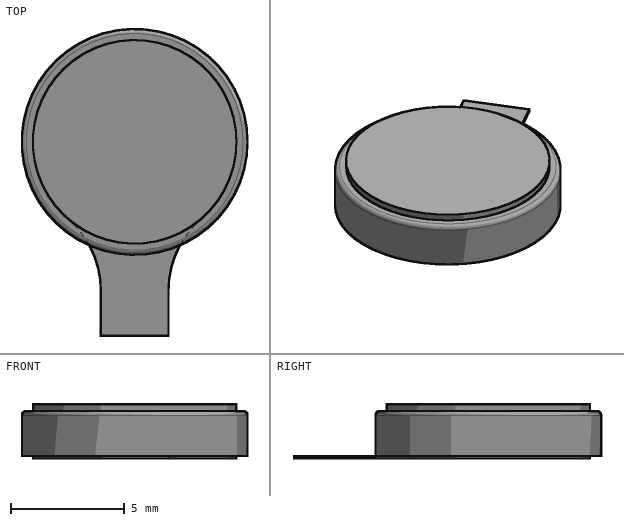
import cadquery as cq
import math

total_length = 13.58
total_height = 2.4

housing_diameter = 10.0
disc_diameter = 9.0
housing_radius = housing_diameter / 2
disc_radius = disc_diameter / 2
housing_edge_fillet = 0.2

circuit_thickness = 0.11
pad_thickness = 0.3
housing_height = total_height - circuit_thickness - pad_thickness

tail_width = 3.0
flare_radius = 4.2
tail_end_y = housing_radius - total_length


def make_housing():
    """Cylindrical case with a rounded top rim."""
    blank = cq.Workplane("XY").workplane(offset=circuit_thickness).circle(housing_radius).extrude(housing_height)
    return blank.faces(">Z").edges().fillet(housing_edge_fillet)


def make_top_pad():
    """Round pad lying on top of the housing."""
    pad_bottom = circuit_thickness + housing_height
    return cq.Workplane("XY").workplane(offset=pad_bottom).circle(disc_radius).extrude(pad_thickness)


def make_flex_circuit():
    """Disc and tail in one sheet, joined by flares tangent to both."""
    half_width = tail_width / 2
    flare_center_x = half_width + flare_radius
    center_distance = disc_radius + flare_radius
    flare_center_y = -math.sqrt(center_distance**2 - flare_center_x**2)

    disc_share = disc_radius / center_distance
    touch_x = flare_center_x * disc_share
    touch_y = flare_center_y * disc_share

    touch_angle = math.atan2(-flare_center_y, -flare_center_x)
    middle_angle = (touch_angle + math.pi) / 2
    middle_x = flare_center_x + flare_radius * math.cos(middle_angle)
    middle_y = flare_center_y + flare_radius * math.sin(middle_angle)

    return (
        cq.Workplane("XY")
        .moveTo(-half_width, tail_end_y)
        .lineTo(half_width, tail_end_y)
        .lineTo(half_width, flare_center_y)
        .threePointArc((middle_x, middle_y), (touch_x, touch_y))
        .threePointArc((0, disc_radius), (-touch_x, touch_y))
        .threePointArc((-middle_x, middle_y), (-half_width, flare_center_y))
        .close()
        .extrude(circuit_thickness)
    )


housing = make_housing()
top_pad = make_top_pad()
flex_circuit = make_flex_circuit()

result = cq.Compound.makeCompound([housing.val(), top_pad.val(), flex_circuit.val()])